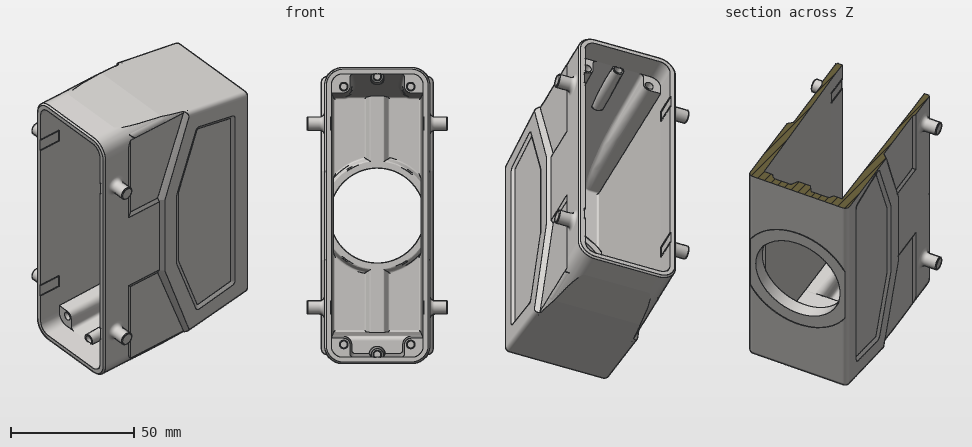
import cadquery as cq

height = 120.0
depth = 76.0
body_half_width = 21.4
raised_half_width = 22.7
panel_half_width = 20.6
corner_radius = 7.5
rim_chamfer = 0.7
overlap = 1.2

rim_half_height = height / 2
slope_start_y = 11.3
slope_break_y = 32.3
break_half_height = 58.1
back_half_height = 50.8

panel_start_y = 12.8
panel_wall = 1.7
panel_low_z = 17.4
panel_edge_radius = 2.8
raised_edge_radius = 2.2
raised_front_y = 31.0
raised_front_half_height = 18.0
raised_end_y = 44.8
raised_front_wall = 2.5
raised_end_wall = 1.7
side_pocket_depth = 1.0
side_pocket_wall = 1.7
side_pocket_radius = 1.9
side_pocket_back = (68.2, 43.1)
side_pocket_shoulder = (47.9, 46.9)
side_pocket_front = (37.2, 17.5)

pin_radius = 2.8
pin_span = 57.0
pin_tip_x = pin_span / 2
pin_y = 6.1
pin_z = 37.2
pin_root_radius = 1.9
pin_tip_chamfer = 0.4

seat_depth = 9.8
seat_half_width = 18.6
seat_half_height = 57.4
seat_radius = 4.5
pin_relief_half_height = 2.6
pin_relief_depth = 0.4
pad_y = 70.0
floor_y = 73.0
floor_half_width = 17.6
floor_upper_z = 47.9
floor_lower_z = -47.2
ledge_y = 32.4
ledge_outer_z = 55.9
ledge_inner_z = 48.8
ledge_edge_radius = 2.0
floor_edge_radius = 0.7
pad_edge_radius = 0.6
boss_root_radius = 1.5

rib_half_width = 2.9
rib_foot_half_width = 4.7
ring_radius = 22.2
ring_foot_radius = 23.5
opening_diameter = 38.4
back_recess_radius = 25.0
back_recess_depth = 0.2
boss_inner_x = 11.0
boss_inner_z = 49.7
boss_radius = 2.6
boss_taper = 1.9
hole_diameter = 3.5
boss_hole_x = 13.5
boss_hole_z = 52.2
hole_depth = 14.4
hole_taper = 1.4
post_z = 56.3
post_radius = 2.4
post_taper = 2.3


def plane_at(y):
    """Workplane across the hood at depth y, facing the cable end."""
    return cq.Workplane(cq.Plane(origin=(0, y, 0), xDir=(1, 0, 0), normal=(0, 1, 0)))


def with_mirror(points):
    """Close a half outline with its reflection in z = 0."""
    return points + [(y, -z) for y, z in reversed(points)]


def prism_across(points, half_width):
    """Solid of a (y, z) outline that spans both sides of x = 0."""
    return cq.Workplane("YZ").polyline(points).close().extrude(half_width, both=True)


def box_between(x0, x1, y0, y1, z0, z1):
    """Axis-aligned box given by its limits."""
    return cq.Workplane("XY").box(x1 - x0, y1 - y0, z1 - z0, centered=False).translate((x0, y0, z0))


def both_sides(solid):
    """Add the reflection of a solid in x = 0."""
    return solid.union(solid.mirror("YZ"))


def end_half_height(y):
    """Half height of the rear slope at depth y."""
    slope = (break_half_height - back_half_height) / (depth - slope_break_y)
    return break_half_height - slope * (y - slope_break_y)


def tapering_layer(half_width, edge_radius):
    """Block behind the rim with the sloping ends and rounded outer edges."""
    outline = with_mirror([
        (panel_start_y + panel_wall, break_half_height),
        (slope_break_y, break_half_height),
        (depth, back_half_height),
    ])
    block = prism_across(outline, half_width)
    return block.faces("<X or >X or >Y").edges().fillet(edge_radius)


def rim_body():
    """Rounded tube around the open rim, trimmed to the sloping ends."""
    profile = with_mirror([
        (0, rim_half_height),
        (slope_start_y, rim_half_height),
        (slope_break_y, break_half_height),
        (depth, back_half_height),
    ])
    envelope = prism_across(profile, body_half_width)
    tube = plane_at(0).rect(2 * body_half_width, height).extrude(raised_end_y)
    tube = tube.edges("|Y").fillet(corner_radius).faces("<Y").chamfer(rim_chamfer)
    body = tube.intersect(envelope)
    for sign in (1, -1):
        body = body.cut(panel_cutter(sign))
    return body


def panel_cutter(z_sign):
    """Recess in the rim body beside one end, on both sides, with sloping walls."""
    step = body_half_width - panel_half_width
    z_far = rim_half_height + overlap
    y_far = depth + overlap

    def outline(inset):
        y0 = panel_start_y + inset
        z0 = z_sign * (panel_low_z + inset)
        return [(y0, z0), (y_far, z0), (y_far, z_sign * z_far), (y0, z_sign * z_far)]

    cutter = (
        cq.Workplane("YZ", origin=(panel_half_width, 0, 0)).polyline(outline(panel_wall)).close()
        .workplane(offset=step).polyline(outline(0)).close().loft(ruled=True)
    )
    return both_sides(cutter)


def raised_layer():
    """Thick rear part whose front edge slopes down to the panels."""
    step = raised_half_width - panel_half_width
    z_far = end_half_height(raised_end_y) + overlap

    def outline(front_shift, end_shift):
        return with_mirror([
            (raised_front_y - front_shift, raised_front_half_height),
            (raised_end_y - end_shift, z_far),
            (depth + overlap, z_far),
        ])

    foot = outline(raised_front_wall, raised_end_wall)
    keep = (
        cq.Workplane("YZ", origin=(panel_half_width, 0, 0)).polyline(foot).close()
        .workplane(offset=step).polyline(outline(0, 0)).close().loft(ruled=True)
    )
    core = prism_across(foot, panel_half_width)
    layer = tapering_layer(raised_half_width, raised_edge_radius)
    return layer.intersect(core.union(both_sides(keep)))


def side_pocket():
    """Shallow six-sided pocket with sloping walls on both flanks."""
    outline = with_mirror([side_pocket_front, side_pocket_shoulder, side_pocket_back])
    blank = cq.Workplane("YZ", origin=(raised_half_width, 0, 0)).polyline(outline).close().extrude(overlap)
    behind_front = cq.selectors.BoxSelector((0, raised_end_y, -height), (height, depth, height))
    blank = blank.edges("|X").edges(behind_front).fillet(side_pocket_radius)
    mouth = blank.faces("<X").wires().val()
    base = mouth.offset2D(-side_pocket_wall)[0].translate(cq.Vector(-side_pocket_depth, 0, 0))
    return cq.Workplane(cq.Solid.makeLoft([mouth, base], True))


def pins():
    """Four locking pins with flared roots."""
    base_x = body_half_width
    pin = (
        cq.Workplane("XY").moveTo(base_x - overlap, 0)
        .lineTo(base_x - overlap, pin_radius + pin_root_radius)
        .lineTo(base_x, pin_radius + pin_root_radius)
        .radiusArc((base_x + pin_root_radius, pin_radius), -pin_root_radius)
        .lineTo(pin_tip_x - pin_tip_chamfer, pin_radius)
        .lineTo(pin_tip_x, pin_radius - pin_tip_chamfer)
        .lineTo(pin_tip_x, 0).close()
        .revolve(360, (0, 0, 0), (1, 0, 0))
    )
    pair = pin.translate((0, pin_y, pin_z)).union(pin.translate((0, pin_y, -pin_z)))
    return both_sides(pair)


def seat():
    """Straight front part of the cavity, with shallow reliefs behind the pins."""
    pocket = plane_at(0).rect(2 * seat_half_width, 2 * seat_half_height).extrude(seat_depth)
    pocket = pocket.edges("|Y").fillet(seat_radius)
    reach = seat_half_width + pin_relief_depth
    for z in (pin_z, -pin_z):
        relief = box_between(-reach, reach, 0, seat_depth,
                             z - pin_relief_half_height, z + pin_relief_half_height)
        pocket = pocket.union(relief)
    return pocket


def rear_cavity():
    """Narrowing rear part; its lower end has a ledge, its upper end is one slope."""
    profile = [
        (seat_depth, seat_half_height),
        (floor_y, floor_upper_z),
        (floor_y, floor_lower_z),
        (ledge_y, -ledge_inner_z),
        (ledge_y, -ledge_outer_z),
        (seat_depth, -seat_half_height),
    ]
    hollow = prism_across(profile, seat_half_width)
    hollow = hollow.edges(cq.selectors.NearestToPointSelector((0, ledge_y, -ledge_inner_z)))
    hollow = hollow.fillet(ledge_edge_radius)
    wedge = (
        cq.Workplane("XY", origin=(0, 0, -rim_half_height))
        .polyline([(-seat_half_width, seat_depth), (-floor_half_width, floor_y),
                   (floor_half_width, floor_y), (seat_half_width, seat_depth)])
        .close().extrude(height)
    )
    hollow = hollow.intersect(wedge)
    hollow = hollow.cut(bosses())
    for x in (boss_inner_x, -boss_inner_x):
        for z in (seat_half_height, -seat_half_height):
            root = cq.selectors.NearestToPointSelector((x, (seat_depth + ledge_y) / 2, z))
            hollow = hollow.edges(root).fillet(boss_root_radius)
    hollow = hollow.cut(floor_pads())
    hollow = hollow.faces(">Y").edges().fillet(floor_edge_radius)
    return hollow.cut(posts())


def floor_pads():
    """Raised rib along the floor and raised ring around the cable opening."""
    rise = floor_y - pad_y
    rib = (
        plane_at(floor_y).rect(2 * rib_foot_half_width, height)
        .workplane(offset=-rise).rect(2 * rib_half_width, height).loft(ruled=True)
    )
    ring = (
        plane_at(floor_y).circle(ring_foot_radius)
        .workplane(offset=-rise).circle(ring_radius).loft(ruled=True)
    )
    return rib.union(ring).faces("<Y").edges().fillet(pad_edge_radius)


def bosses():
    """Four screw bosses that widen toward the floor."""
    outer_x = body_half_width + boss_inner_x
    outer_z = rim_half_height + boss_inner_z
    boss = (
        plane_at(seat_depth)
        .center((boss_inner_x + outer_x) / 2, (boss_inner_z + outer_z) / 2)
        .sketch().rect(outer_x - boss_inner_x, outer_z - boss_inner_z).vertices().fillet(boss_radius)
        .finalize().extrude(depth - seat_depth, taper=-boss_taper)
    )
    pair = boss.union(boss.mirror("XY"))
    return both_sides(pair)


def posts():
    """Guide post against each end wall, widening with depth."""
    post = plane_at(seat_depth).center(0, post_z).circle(post_radius)
    post = post.extrude(ledge_y - seat_depth, taper=-post_taper)
    return post.union(post.mirror("XY"))


def screw_holes():
    """Slightly tapered blind holes in the bosses and posts."""
    centers = [(sx * boss_hole_x, sz * boss_hole_z) for sx in (1, -1) for sz in (1, -1)]
    centers += [(0, post_z), (0, -post_z)]
    holes = plane_at(seat_depth).pushPoints(centers).circle(hole_diameter / 2)
    return holes.extrude(hole_depth, taper=hole_taper)


def cable_opening():
    """Round opening in the back wall with a shallow recess around it."""
    opening = plane_at(pad_y).circle(opening_diameter / 2).extrude(depth - pad_y)
    recess = plane_at(depth - back_recess_depth).circle(back_recess_radius).extrude(back_recess_depth)
    return opening.union(recess)


shell = rim_body().union(tapering_layer(panel_half_width, panel_edge_radius)).union(raised_layer())
shell = shell.cut(both_sides(side_pocket())).union(pins())
result = shell.cut(seat()).cut(rear_cavity()).cut(screw_holes()).cut(cable_opening())